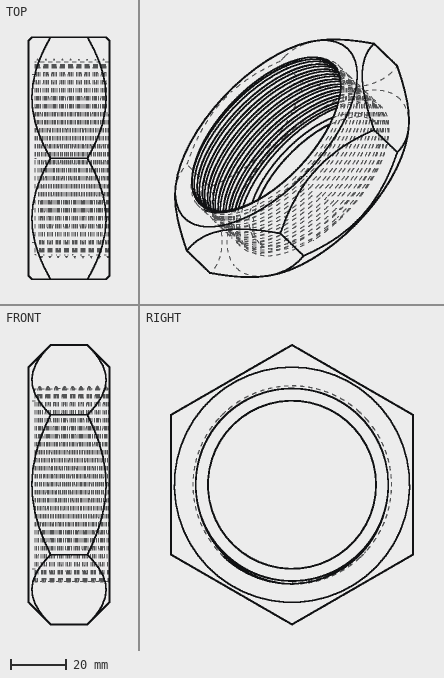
import cadquery as cq
import math

WIDTH = 29.5
HALF_WIDTH = WIDTH / 2
ACROSS_FLATS = 88.0
ACROSS_CORNERS = ACROSS_FLATS / math.cos(math.radians(30))
FACE_DIAMETER = 85.5
CHAMFER = (ACROSS_CORNERS - FACE_DIAMETER) / 2

LIP_DIAMETER = 61.0
LIP_THICKNESS = 2.25

BORE_DIAMETER = 70.0
PITCH = 3.0
GROOVE_MOUTH = 1.25
FLANK_SLOPE = math.tan(math.radians(30))
GROOVE_DEPTH = GROOVE_MOUTH / 2 / FLANK_SLOPE
CUTTER_OVERLAP = 0.5
TURNS_IN_NUT = math.floor((WIDTH - LIP_THICKNESS) / PITCH)
RUNOUT_TURNS = 0.25


def disc(diameter, x_start, length):
    """Cylinder about the X axis, extending from x_start toward +X."""
    return cq.Workplane("YZ", origin=(x_start, 0, 0)).circle(diameter / 2).extrude(length)


def hexagonal_blank():
    """Hexagonal prism centred on the origin."""
    prism = cq.Workplane("YZ").polygon(6, ACROSS_CORNERS).extrude(HALF_WIDTH, both=True)
    return prism.rotate((0, 0, 0), (1, 0, 0), 90)


def chamfer_envelope():
    """Turned body whose conical ends trim the hexagon corners."""
    face_radius = FACE_DIAMETER / 2
    rim_radius = ACROSS_CORNERS / 2
    return (
        cq.Workplane("XZ")
        .moveTo(-HALF_WIDTH, 0)
        .lineTo(-HALF_WIDTH, face_radius)
        .lineTo(-HALF_WIDTH + CHAMFER, rim_radius)
        .lineTo(HALF_WIDTH - CHAMFER, rim_radius)
        .lineTo(HALF_WIDTH, face_radius)
        .lineTo(HALF_WIDTH, 0)
        .close()
        .revolve(360, (0, 0, 0), (1, 0, 0))
    )


def thread_cutter():
    """Helical V cutter, centred on the +X face where it passes the bottom of the bore."""
    bore_radius = BORE_DIAMETER / 2
    inner_radius = bore_radius - CUTTER_OVERLAP
    root_radius = bore_radius + GROOVE_DEPTH
    inner_half_width = (root_radius - inner_radius) * FLANK_SLOPE
    helix = cq.Wire.makeHelix(PITCH, (TURNS_IN_NUT + RUNOUT_TURNS) * PITCH, bore_radius)
    cutter = (
        cq.Workplane("XZ")
        .moveTo(inner_radius, -inner_half_width)
        .lineTo(root_radius, 0)
        .lineTo(inner_radius, inner_half_width)
        .close()
        .sweep(cq.Workplane(obj=helix), isFrenet=True)
    )
    along_x = cutter.rotate((0, 0, 0), (0, 1, 0), 90)
    return along_x.translate((HALF_WIDTH - TURNS_IN_NUT * PITCH, 0, 0))


def lip():
    """Ring at the -X face, wide enough to close the thread groove behind it."""
    outer_diameter = BORE_DIAMETER + 2 * (GROOVE_DEPTH + CUTTER_OVERLAP)
    ring = disc(outer_diameter, -HALF_WIDTH, LIP_THICKNESS)
    return ring.cut(disc(LIP_DIAMETER, -HALF_WIDTH, LIP_THICKNESS))


nut = hexagonal_blank().intersect(chamfer_envelope())
nut = nut.cut(disc(BORE_DIAMETER, -HALF_WIDTH, WIDTH))
nut = nut.cut(thread_cutter())
result = nut.union(lip())